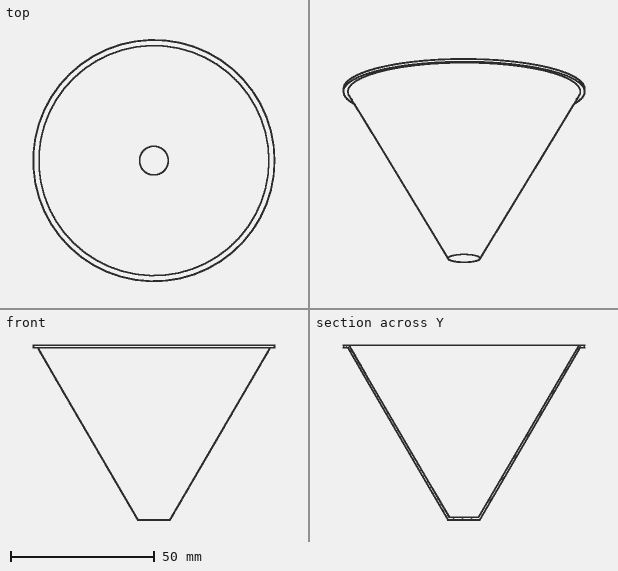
import cadquery as cq

height = 60.85
rim_radius = 42.0
rim_thickness = 1.0
rim_bottom = height - rim_thickness

mouth_radius = 40.0
floor_radius = 5.0
floor_thickness = 1.0

base_radius = 5.57
neck_radius = 40.43


def make_cone(bottom_radius, bottom_z, top_radius, top_z):
    """Solid truncated cone about Z, between two heights."""
    return cq.Workplane(
        cq.Solid.makeCone(
            bottom_radius,
            top_radius,
            top_z - bottom_z,
            pnt=cq.Vector(0, 0, bottom_z),
        )
    )


def make_rim():
    """Disc that forms the rim once the cavity is cut through it."""
    return cq.Workplane("XY").workplane(offset=rim_bottom).circle(rim_radius).extrude(rim_thickness)


body = make_cone(base_radius, 0, neck_radius, rim_bottom)
cavity = make_cone(floor_radius, floor_thickness, mouth_radius, height)

result = body.union(make_rim()).cut(cavity)